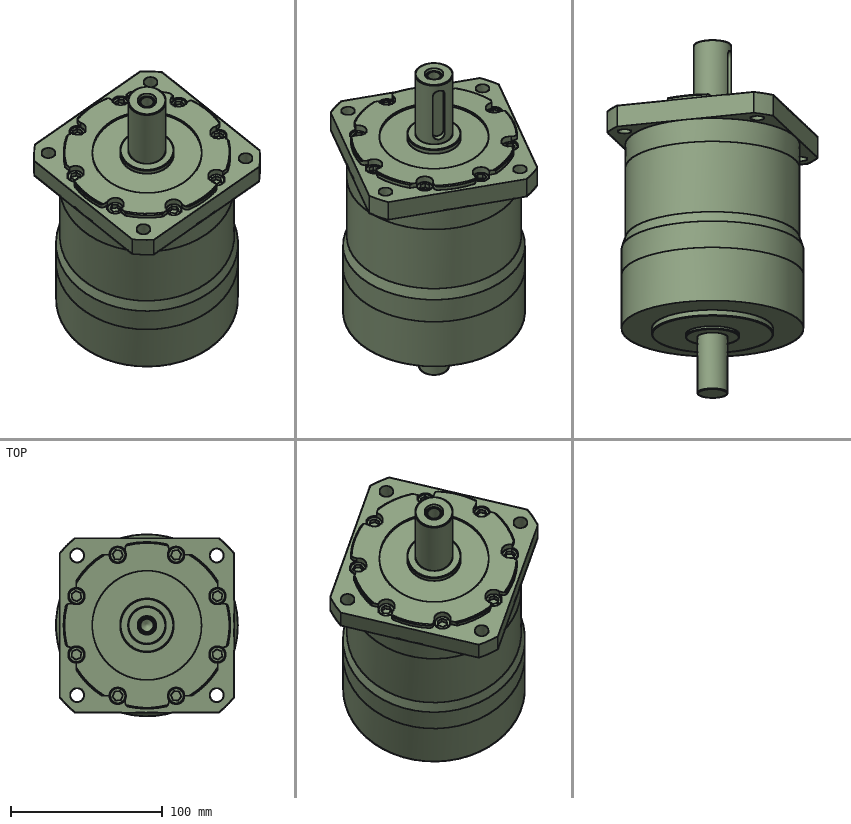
import cadquery as cq
import math


output_shaft_top = 54.5
collar_rise = 5.4
pilot_height = 3.4
flange_bottom = -14.5
flange_joint = -30.5
taper_top = -79.2
taper_bottom = -86.5
casing_joint = -104.7
casing_bottom = -141.5
input_pilot_bottom = -145.5
input_collar_bottom = -147.5
input_shaft_bottom = -186.5

housing_diameter = 115.0
casing_diameter = 120.0
collar_diameter = 35.5
output_shaft_diameter = 25.0
input_shaft_diameter = 20.0
input_pilot_diameter = 80.0
edge_chamfer = 0.5

flange_width = housing_diameter
flange_corner_diameter = 149.0
mount_circle_diameter = 130.0
mount_hole_diameter = 9.0

pilot_diameter = 110.0
pilot_chamfer = 0.8
recess_diameter = 72.0
recess_depth = 1.5
lobe_half_width = 14.3
notch_floor = 46.5
lobe_fillet = 3.0

screw_count = 8
screw_circle_diameter = 100.5
screw_pocket_diameter = 11.0
screw_pocket_depth = 6.0
screw_head_diameter = 9.8
screw_head_top_depth = 0.7
screw_socket_width = 6.0
screw_socket_depth = 4.0

key_width = 8.0
key_length = 40.0
key_depth = 4.0
key_end_distance = 5.0

centre_mouth_diameter = 12.4
centre_ledge_diameter = 10.5
centre_ledge_depth = 1.5
centre_tap_diameter = 8.5
centre_tap_depth = 30.0
drill_half_angle = math.radians(59)


def cylinder(diameter, bottom, top):
    return cq.Workplane("XY").workplane(offset=bottom).circle(diameter / 2).extrude(top - bottom)


def revolve_profile(points):
    """Revolve a closed (radius, height) outline about the Z axis."""
    return cq.Workplane("XZ").polyline(points).close().revolve(360, (0, 0, 0), (0, 1, 0))


def make_flange_plate():
    plate = (
        cq.Workplane("XY").workplane(offset=flange_bottom)
        .rect(flange_width, flange_width)
        .extrude(-flange_bottom)
    )
    plate = plate.intersect(cylinder(flange_corner_diameter, flange_bottom, 0))
    mount_spacing = mount_circle_diameter / math.sqrt(2)
    return (
        plate.faces(">Z").workplane()
        .rect(mount_spacing, mount_spacing, forConstruction=True)
        .vertices()
        .hole(mount_hole_diameter)
    )


def make_output_pilot():
    pilot_radius = pilot_diameter / 2
    pilot = cylinder(pilot_diameter, 0, pilot_height)

    notch_size = pilot_radius - lobe_half_width
    for quarter in range(4):
        for side in (-1, 1):
            notch = (
                cq.Workplane("XY")
                .center(side * (lobe_half_width + notch_size / 2), notch_floor + notch_size / 2)
                .rect(notch_size, notch_size)
                .extrude(pilot_height)
                .rotate((0, 0, 0), (0, 0, 1), 90 * quarter)
            )
            pilot = pilot.cut(notch)

    corner_reach = math.sqrt(pilot_radius ** 2 - lobe_half_width ** 2)
    for near, far in ((lobe_half_width, corner_reach), (corner_reach, lobe_half_width)):
        for x_sign in (-1, 1):
            for y_sign in (-1, 1):
                corner = (x_sign * near, y_sign * far, pilot_height / 2)
                pilot = pilot.edges(cq.NearestToPointSelector(corner)).fillet(lobe_fillet)

    rim_chamfer = revolve_profile([
        (pilot_radius, pilot_height - pilot_chamfer),
        (pilot_radius + pilot_chamfer, pilot_height - pilot_chamfer),
        (pilot_radius + pilot_chamfer, pilot_height),
        (pilot_radius - pilot_chamfer, pilot_height),
    ])
    recess = cylinder(recess_diameter, pilot_height - recess_depth, pilot_height)
    return pilot.cut(rim_chamfer).cut(recess)


def make_screw_pockets():
    """Clearances around the socket-head cover screws, which are solid with the flange."""
    head = cylinder(screw_head_diameter, -screw_pocket_depth, -screw_head_top_depth)
    socket = (
        cq.Workplane("XY").workplane(offset=-screw_socket_depth)
        .polygon(6, screw_socket_width / math.cos(math.pi / 6))
        .extrude(screw_socket_depth - screw_head_top_depth)
    )
    pocket = cylinder(screw_pocket_diameter, -screw_pocket_depth, pilot_height)
    pocket = pocket.cut(head.cut(socket))
    pocket = pocket.translate((screw_circle_diameter / 2, 0, 0))
    pitch_angle = 360 / screw_count
    pockets = []
    for index in range(screw_count):
        angle = (index + 0.5) * pitch_angle
        pockets.append(pocket.rotate((0, 0, 0), (0, 0, 1), angle))
    return pockets


def make_output_shaft():
    """Keyed shaft, chamfered at its end and relieved where it meets the collar."""
    shaft = cylinder(output_shaft_diameter, collar_rise, output_shaft_top)
    shaft = shaft.faces("<Z or >Z").edges().chamfer(edge_chamfer)
    keyway = (
        cq.Workplane("XZ", origin=(0, output_shaft_diameter / 2, 0))
        .center(0, output_shaft_top - key_end_distance - key_length / 2)
        .slot2D(key_length, key_width, 90)
        .extrude(key_depth)
    )
    return shaft.cut(keyway).cut(make_centre_hole())


def make_centre_hole():
    mouth_radius = centre_mouth_diameter / 2
    ledge_radius = centre_ledge_diameter / 2
    tap_radius = centre_tap_diameter / 2
    tap_bottom = output_shaft_top - centre_tap_depth
    return revolve_profile([
        (0, output_shaft_top),
        (mouth_radius, output_shaft_top),
        (ledge_radius, output_shaft_top - centre_ledge_depth),
        (tap_radius, output_shaft_top - centre_ledge_depth),
        (tap_radius, tap_bottom),
        (0, tap_bottom - tap_radius / math.tan(drill_half_angle)),
    ])


def make_output_flange():
    neck = cylinder(housing_diameter, flange_joint, flange_bottom)
    collar = cylinder(collar_diameter, 0, collar_rise).faces(">Z").edges().chamfer(edge_chamfer)
    flange = make_flange_plate().union(neck).union(make_output_pilot())
    for screw_pocket in make_screw_pockets():
        flange = flange.cut(screw_pocket)
    return flange.union(collar).union(make_output_shaft())


def make_ring_gear_housing():
    housing_radius = housing_diameter / 2
    casing_radius = casing_diameter / 2
    return revolve_profile([
        (0, flange_joint),
        (housing_radius, flange_joint),
        (housing_radius, taper_top),
        (casing_radius, taper_bottom),
        (casing_radius, casing_joint),
        (0, casing_joint),
    ])


def make_input_casing():
    casing = cylinder(casing_diameter, casing_bottom, casing_joint)
    ends = (
        (input_pilot_diameter, input_pilot_bottom),
        (collar_diameter, input_collar_bottom),
        (input_shaft_diameter, input_shaft_bottom),
    )
    for diameter, bottom in ends:
        step = cylinder(diameter, bottom, casing_bottom)
        casing = casing.union(step.faces("<Z").edges().chamfer(edge_chamfer))
    return casing


output_flange = make_output_flange()
ring_gear_housing = make_ring_gear_housing()
input_casing = make_input_casing()

result = cq.Compound.makeCompound([
    output_flange.val(),
    ring_gear_housing.val(),
    input_casing.val(),
])